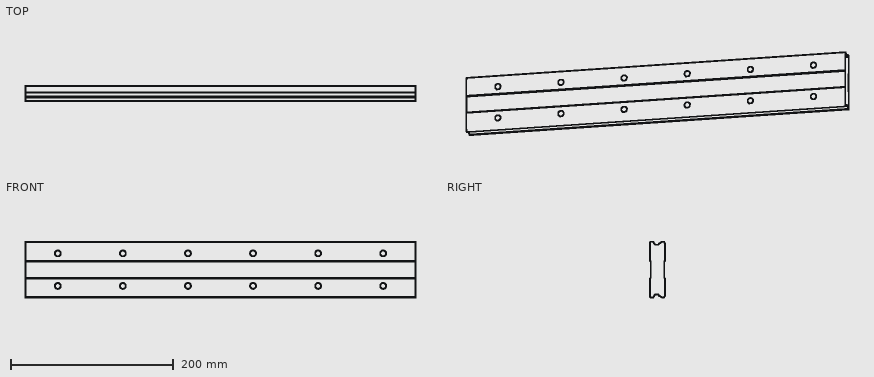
import cadquery as cq
import math

length = 480.0
width = 19.0
height = 69.0
back = width / 2
front = -width / 2
top = height / 2

recess_depth = 1.0
recess_floor_height = 20.0
recess_mouth_height = 22.0

groove_depth = 3.7
groove_back_y = 5.9
groove_step_y = 1.8
groove_floor_back_y = 1.2
groove_front_y = -5.2
shallow_angle = math.radians(30)
steep_angle = math.radians(60)

back_chamfer_run = 1.6
front_chamfer = 1.0

blend_radius = 1.0

hole_diameter = 7.0
hole_pitch = 80.0
hole_columns = 6
hole_rows = 2
hole_row_spacing = 40.0


back_chamfer_drop = back_chamfer_run * math.tan(steep_angle)


def upper_outline():
    """Points (y, z) of the upper half profile, from the back recess to the front recess."""
    floor = top - groove_depth
    floor_front_y = groove_front_y + groove_depth / math.tan(steep_angle)
    step_z = top - (groove_back_y - groove_step_y) * math.tan(shallow_angle)
    return [
        (back - recess_depth, recess_floor_height / 2),
        (back, recess_mouth_height / 2),
        (back, top - back_chamfer_drop),
        (back - back_chamfer_run, top),
        (groove_back_y, top),
        (groove_step_y, step_z),
        (groove_floor_back_y, floor),
        (floor_front_y, floor),
        (groove_front_y, top),
        (front + front_chamfer, top),
        (front, top - front_chamfer),
        (front, recess_mouth_height / 2),
        (front + recess_depth, recess_floor_height / 2),
    ]


def rail_body():
    """Profile mirrored about mid-height, extruded along X, with its back corners rounded."""
    upper = upper_outline()
    lower = [(y, -z) for y, z in reversed(upper)]
    body = cq.Workplane("YZ").polyline(upper + lower).close().extrude(length / 2, both=True)

    rounded_corners = [
        (back, top - back_chamfer_drop),
        (back - back_chamfer_run, top),
        (groove_back_y, top),
    ]
    for y, z in rounded_corners:
        for side in (1, -1):
            corner = cq.selectors.NearestToPointSelector((0, y, side * z))
            body = body.edges("|X").edges(corner).fillet(blend_radius)
    return body


def mounting_holes():
    """Cylinders crossing the full width on a rectangular grid."""
    return (
        cq.Workplane("XZ")
        .rarray(hole_pitch, hole_row_spacing, hole_columns, hole_rows)
        .circle(hole_diameter / 2)
        .extrude(width, both=True)
    )


result = rail_body().cut(mounting_holes())